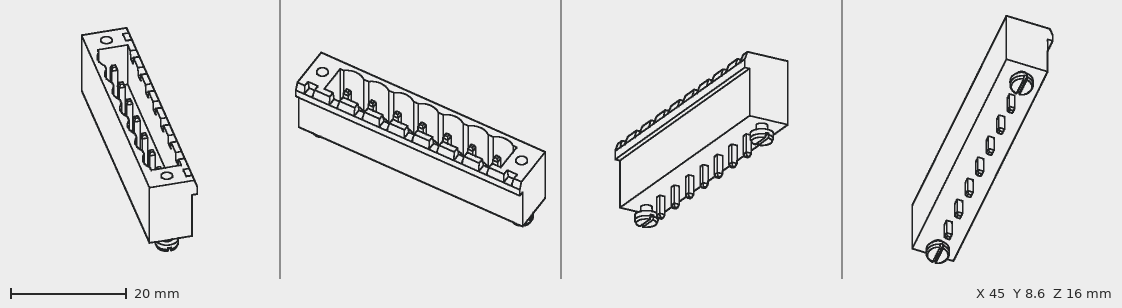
import cadquery as cq

length = 45.0
height = 12.0
overall_depth = 8.6

rail_overhang = 0.95
rail_height = 3.1
rail_bevel_depth = 0.55
rail_bevel_height = 1.55
wall_depth = overall_depth - rail_overhang

contact_count = 7
position_count = contact_count + 2
pitch = length / position_count
contact_xs = [(i - (contact_count - 1) / 2) * pitch for i in range(contact_count)]
row_y = 3.8
screw_xs = [contact_xs[0] - pitch, contact_xs[-1] + pitch]

cavity_end_wall = 4.75
cavity_length = length - 2 * cavity_end_wall
cavity_front = 1.6
rear_wall = 1.6
cavity_rear = overall_depth - rear_wall
cavity_depth = 8.55
cavity_floor = height - cavity_depth
scallop_radius = 3.15
scallop_front = 0.9

notch_floor_width = 1.55
notch_top_width = 2.0
notch_depth = rail_bevel_height

pin_width = 1.05
pin_tip_width = 0.6
pin_tip_height = 0.6
pin_below = 4.0
pin_recess = 2.0
pin_top = height - pin_recess

screw_diameter = 2.0
head_diameter = 4.0
head_bottom = -3.0
head_height = 1.5
head_edge_width = 0.22
head_edge_height = 0.55
slot_width = 0.6
slot_depth = 0.8
screw_hole_depth = cavity_depth


def make_housing():
    """Bar with an overhanging, bevelled rail at the rear."""
    profile = [
        (0, 0),
        (wall_depth, 0),
        (wall_depth, height - rail_height),
        (overall_depth, height - rail_height),
        (overall_depth, height - rail_bevel_height),
        (overall_depth - rail_bevel_depth, height),
        (0, height),
    ]
    return cq.Workplane("YZ").polyline(profile).close().extrude(length / 2, both=True)


def make_cavity():
    """Rectangular pocket whose front wall has one scallop per contact."""
    pocket_width = cavity_rear - cavity_front
    pocket = (
        cq.Workplane("XY", origin=(0, cavity_front + pocket_width / 2, cavity_floor))
        .rect(cavity_length, pocket_width)
        .extrude(cavity_depth)
    )
    limits = cq.Workplane("XY").box(cavity_length, 2 * cavity_rear, 2 * height)
    for x in contact_xs:
        scallop = (
            cq.Workplane("XY", origin=(x, scallop_front + scallop_radius, cavity_floor))
            .circle(scallop_radius)
            .extrude(cavity_depth)
        )
        pocket = pocket.union(scallop.intersect(limits))
    return pocket


def make_notch(x):
    """Notch with flared sides, cut from the rear as far as the cavity wall."""
    floor_z = height - notch_depth
    outline = [
        (x - notch_floor_width / 2, floor_z),
        (x + notch_floor_width / 2, floor_z),
        (x + notch_top_width / 2, height),
        (x - notch_top_width / 2, height),
    ]
    return (
        cq.Workplane("XZ", origin=(0, overall_depth, 0))
        .polyline(outline)
        .close()
        .extrude(overall_depth - cavity_rear)
    )


def make_pin_tip(x, base_z, direction):
    """Tapered pin end that points up (direction 1) or down (direction -1)."""
    return (
        cq.Workplane("XY", origin=(x, row_y, base_z))
        .rect(pin_width, pin_width)
        .workplane(offset=direction * pin_tip_height)
        .rect(pin_tip_width, pin_tip_width)
        .loft()
    )


def make_pin(x):
    """Square contact pin through the cavity floor."""
    lower_z = pin_tip_height - pin_below
    upper_z = pin_top - pin_tip_height
    shank = (
        cq.Workplane("XY", origin=(x, row_y, lower_z))
        .rect(pin_width, pin_width)
        .extrude(upper_z - lower_z)
    )
    return shank.union(make_pin_tip(x, upper_z, 1)).union(make_pin_tip(x, lower_z, -1))


def make_screw(x):
    """Screw shank and slotted head below the housing."""
    shank_radius = screw_diameter / 2
    head_radius = head_diameter / 2
    head_top = head_bottom + head_height
    half_section = [
        (0, 0),
        (shank_radius, 0),
        (shank_radius, head_top),
        (head_radius, head_top),
        (head_radius, head_bottom + head_edge_height),
        (head_radius - head_edge_width, head_bottom),
        (0, head_bottom),
    ]
    body = cq.Workplane("XZ").polyline(half_section).close().revolve(360, (0, 0), (0, 1))
    slot = (
        cq.Workplane("XY", origin=(0, 0, head_bottom))
        .rect(2 * head_diameter, slot_width)
        .extrude(slot_depth)
    )
    return body.cut(slot).translate((x, row_y, 0))


result = make_housing().cut(make_cavity())

for x in screw_xs + contact_xs:
    result = result.cut(make_notch(x))

screw_holes = (
    cq.Workplane("XY", origin=(0, 0, height))
    .pushPoints([(x, row_y) for x in screw_xs])
    .circle(screw_diameter / 2)
    .extrude(-screw_hole_depth)
)
result = result.cut(screw_holes)

for x in contact_xs:
    result = result.union(make_pin(x))

for x in screw_xs:
    result = result.union(make_screw(x))